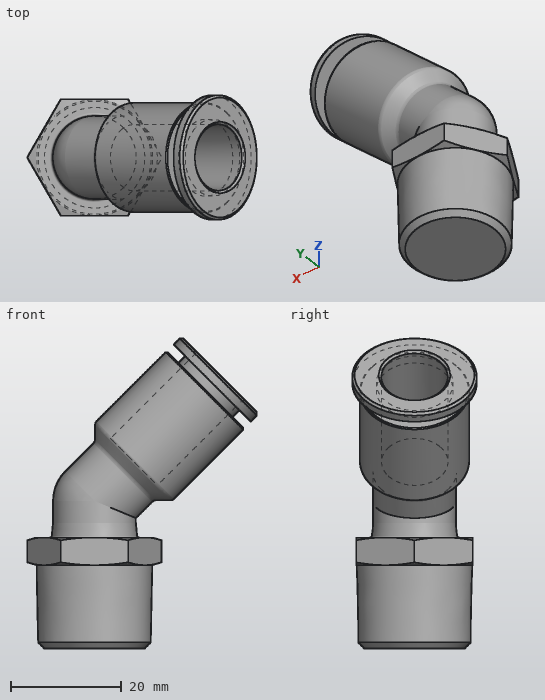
import cadquery as cq
import math

bend_angle = 45

stub_tip_radius = 10.2
stub_root_radius = 10.45
stub_chamfer_height = 1.1
stub_chamfer_width = 1.1
stub_height = 15.05

hex_across_flats = 21.0
hex_height = 5.0
hex_corner_drop = 0.5

neck_radius = 7.5
collar_foot_radius = 7.7
collar_height = 2.6
collar_fillet = 0.35
pivot_height = 26.6

body_radius = 9.9
cone_start = 7.6
body_end = 28.3
shoulder_fillet = 0.9
body_rim_chamfer = 0.2

sleeve_neck_radius = 6.95
flange_half_length = 11.25
flange_half_width = 9.85
flange_start = 30.0
sleeve_end = 32.05
flange_chamfer = 0.45

bore_radius = 6.0
bore_chamfer = 0.45

hex_corner_radius = hex_across_flats / 2 / math.cos(math.radians(30))
hex_top = stub_height + hex_height
collar_top = hex_top + collar_height
cone_end = cone_start + body_radius - neck_radius


def revolve_profile(points):
    """Revolve a closed (radius, height) outline about Z."""
    return cq.Workplane("XZ").polyline(points).close().revolve(360, (0, 0), (0, 1))


def make_stub():
    return revolve_profile([
        (0, 0),
        (stub_tip_radius - stub_chamfer_width, 0),
        (stub_tip_radius, stub_chamfer_height),
        (stub_root_radius, stub_height),
        (0, stub_height),
    ])


def make_hexagon():
    """Hexagonal prism whose corners are trimmed by a cone at both ends."""
    prism = (
        cq.Workplane("XY", origin=(0, 0, stub_height))
        .polygon(6, 2 * hex_corner_radius)
        .extrude(hex_height)
    )
    chamfer_radius = hex_across_flats / 2
    envelope = revolve_profile([
        (0, stub_height),
        (chamfer_radius, stub_height),
        (hex_corner_radius, stub_height + hex_corner_drop),
        (hex_corner_radius, hex_top - hex_corner_drop),
        (chamfer_radius, hex_top),
        (0, hex_top),
    ])
    return prism.intersect(envelope)


def make_collar():
    """Slightly flared foot of the neck, with a concave fillet onto the hexagon."""
    foot_edge = collar_foot_radius + collar_fillet
    return (
        cq.Workplane("XZ")
        .moveTo(0, hex_top)
        .lineTo(foot_edge, hex_top)
        .radiusArc((collar_foot_radius, hex_top + collar_fillet), collar_fillet)
        .lineTo(neck_radius, collar_top)
        .lineTo(0, collar_top)
        .close()
        .revolve(360, (0, 0), (0, 1))
    )


def make_neck():
    """Vertical neck closed by the ball of the elbow."""
    column = (
        cq.Workplane("XY", origin=(0, 0, collar_top))
        .circle(neck_radius)
        .extrude(pivot_height - collar_top)
    )
    ball = cq.Workplane("XY", origin=(0, 0, pivot_height)).sphere(neck_radius)
    return column.union(ball)


def make_branch_body():
    """Branch along Z from the pivot: neck, cone and socket body."""
    body = revolve_profile([
        (0, 0),
        (neck_radius, 0),
        (neck_radius, cone_start),
        (body_radius, cone_end),
        (body_radius, body_end),
        (0, body_end),
    ])
    body = body.faces("%CONE").edges().fillet(shoulder_fillet)
    return body.faces(">Z").edges().chamfer(body_rim_chamfer)


def make_sleeve():
    """Round sleeve neck carrying an oval flange, along Z from the pivot."""
    sleeve_neck = (
        cq.Workplane("XY", origin=(0, 0, body_end))
        .circle(sleeve_neck_radius)
        .extrude(flange_start - body_end)
    )
    flange = (
        cq.Workplane("XY", origin=(0, 0, flange_start))
        .ellipse(flange_half_width, flange_half_length)
        .extrude(sleeve_end - flange_start)
        .faces(">Z").edges().chamfer(flange_chamfer)
    )
    return sleeve_neck.union(flange)


def make_bore():
    """Blind tube bore, ending where the socket body meets its cone."""
    mouth_radius = bore_radius + bore_chamfer
    return revolve_profile([
        (0, cone_end),
        (bore_radius, cone_end),
        (bore_radius, sleeve_end - bore_chamfer),
        (mouth_radius, sleeve_end),
        (0, sleeve_end),
    ])


branch = (
    make_branch_body()
    .union(make_sleeve())
    .cut(make_bore())
    .rotate((0, 0, 0), (0, 1, 0), bend_angle)
    .translate((0, 0, pivot_height))
)

result = (
    make_stub()
    .union(make_hexagon())
    .union(make_collar())
    .union(make_neck())
    .union(branch)
)